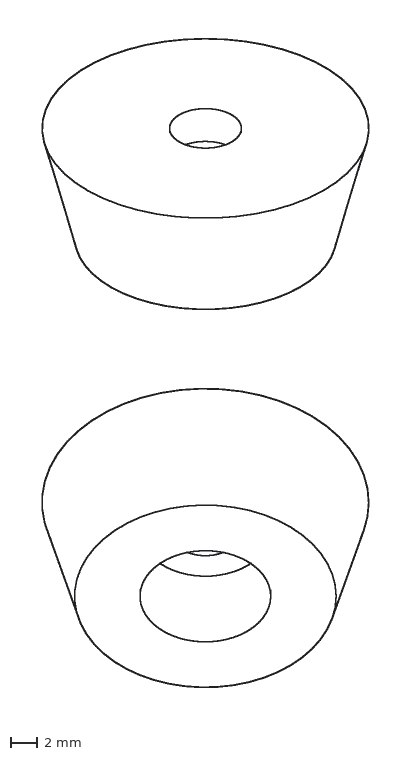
import cadquery as cq

height = 10.0
top_diameter = 25.0
bottom_diameter = 20.0

hole_diameter = 5.5
recess_diameter = 10.0
web_thickness = 3.0
recess_depth = height - web_thickness


def tapered_body():
    """Solid frustum standing on the XY plane."""
    return (
        cq.Workplane("XY")
        .circle(bottom_diameter / 2)
        .workplane(offset=height)
        .circle(top_diameter / 2)
        .loft(ruled=True)
    )


def bore(diameter, depth):
    """Cylinder on the axis, rising from the bottom face."""
    return cq.Workplane("XY").circle(diameter / 2).extrude(depth)


result = (
    tapered_body()
    .cut(bore(hole_diameter, height))
    .cut(bore(recess_diameter, recess_depth))
)